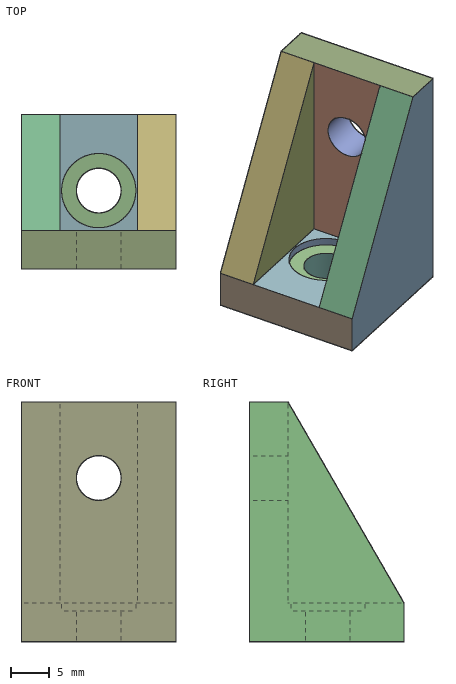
import cadquery as cq

width = 20.0
depth = 20.0
height = 31.0

plate_thickness = 5.0
channel_width = width - 2 * plate_thickness

hole_diameter = 5.75
counterbore_diameter = 9.6
counterbore_depth = 1.0
hole_edge_distance = 9.85

center_x = width / 2
wall_hole_z = height - hole_edge_distance
base_hole_y = depth - hole_edge_distance


def bracket_body():
    """Side profile with a sloped edge, extruded across the full width."""
    profile = [
        (0, 0),
        (depth, 0),
        (depth, plate_thickness),
        (plate_thickness, height),
        (0, height),
    ]
    return cq.Workplane("YZ").polyline(profile).close().extrude(width)


def channel():
    """Open space between the gussets, above the base and behind the wall."""
    space = cq.Workplane("XY").box(
        channel_width,
        depth - plate_thickness,
        height - plate_thickness,
        centered=False,
    )
    return space.translate((plate_thickness, plate_thickness, plate_thickness))


def wall_hole():
    """Plain hole along Y through the upright wall."""
    center = cq.Workplane("XZ").center(center_x, wall_hole_z)
    return center.circle(hole_diameter / 2).extrude(-plate_thickness)


def base_hole():
    """Vertical hole through the base with a counterbore in the channel floor."""
    center = cq.Workplane("XY").center(center_x, base_hole_y)
    bore = center.circle(hole_diameter / 2).extrude(plate_thickness)
    seat = (
        center.workplane(offset=plate_thickness - counterbore_depth)
        .circle(counterbore_diameter / 2)
        .extrude(counterbore_depth)
    )
    return bore.union(seat)


result = bracket_body().cut(channel()).cut(wall_hole()).cut(base_hole())